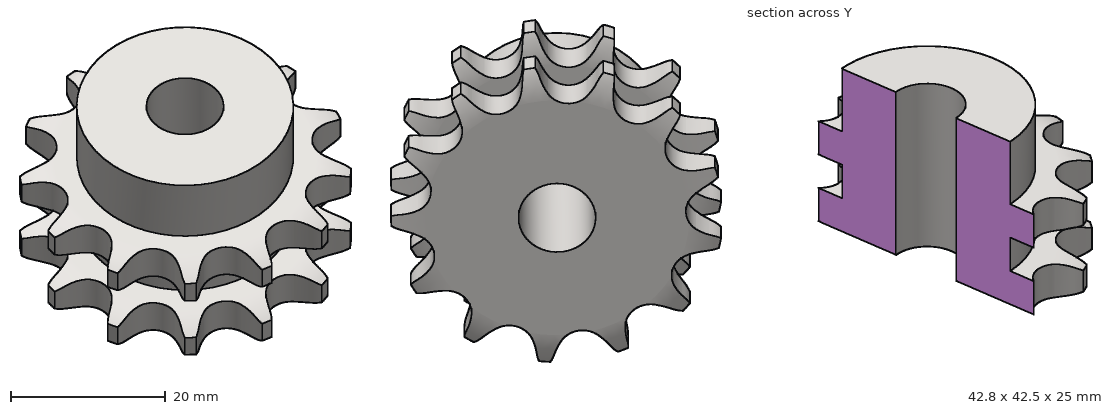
import cadquery as cq
import math


tooth_count = 13
pitch_diameter = 39.8
roller_diameter = 6.35
roller_clearance = 0.04
outer_diameter = 43.0
disc_thickness = 5.2
disc_spacing = 10.25
hub_diameter = 28.0
hub_height = 25.0
bore_diameter = 10.0

relief_inner_diameter = 34.2
tip_thickness = 3.25

tooth_pitch_angle = 360 / tooth_count
pitch_radius = pitch_diameter / 2
outer_radius = outer_diameter / 2
seat_radius = 0.5025 * roller_diameter + roller_clearance
working_radius = 1.3025 * roller_diameter + roller_clearance
working_offset = 0.8 * roller_diameter
seat_angle = 35 + 60 / tooth_count
working_sweep = 18 - 56 / tooth_count
pressure_angle = 17 - 64 / tooth_count
topping_offset = 1.4 * roller_diameter
flat_length = (
    topping_offset * math.sin(math.radians(pressure_angle))
    - working_offset * math.sin(math.radians(working_sweep))
)
topping_radius = (
    working_offset * math.cos(math.radians(working_sweep))
    + topping_offset * math.cos(math.radians(pressure_angle))
    - working_radius
)
topping_sweep = 18
gap_overrun = 2.15


def polar_from(center, distance, angle):
    """Point at a distance and an angle in degrees from a center."""
    direction = math.radians(angle)
    return (
        center[0] + distance * math.cos(direction),
        center[1] + distance * math.sin(direction),
    )


def mirrored(point):
    """Reflect a point across the center line of the gap."""
    return (point[0], -point[1])


def gap_cutter():
    """Space between two teeth, centered on +X: seat, working curve, flat and topping curve."""
    roller_center = (pitch_radius, 0)
    seat_end_angle = 90 + seat_angle
    root = polar_from(roller_center, seat_radius, 180)
    seat_end = polar_from(roller_center, seat_radius, seat_end_angle)

    working_center = polar_from(roller_center, -working_offset, seat_end_angle)
    flat_angle = seat_end_angle - working_sweep
    working_middle = polar_from(working_center, working_radius, seat_end_angle - working_sweep / 2)
    working_end = polar_from(working_center, working_radius, flat_angle)
    flat_end = polar_from(working_end, flat_length, flat_angle - 90)

    topping_center = polar_from(flat_end, topping_radius, flat_angle)
    topping_middle = polar_from(topping_center, -topping_radius, flat_angle + topping_sweep / 2)
    topping_end = polar_from(topping_center, -topping_radius, flat_angle + topping_sweep)

    return (
        cq.Workplane("XY")
        .moveTo(*mirrored(seat_end))
        .threePointArc(root, seat_end)
        .threePointArc(working_middle, working_end)
        .lineTo(*flat_end)
        .threePointArc(topping_middle, topping_end)
        .lineTo(outer_radius + gap_overrun, 0)
        .lineTo(*mirrored(topping_end))
        .threePointArc(mirrored(topping_middle), mirrored(flat_end))
        .lineTo(*mirrored(working_end))
        .threePointArc(mirrored(working_middle), mirrored(seat_end))
        .close()
        .extrude(disc_thickness)
    )


def disc_blank():
    """Turned disc whose faces curve in tangentially towards the tip."""
    relief_start = relief_inner_diameter / 2
    relief_length = outer_radius - relief_start
    relief_drop = (disc_thickness - tip_thickness) / 2
    relief_radius = (relief_length**2 + relief_drop**2) / (2 * relief_drop)
    half_sweep = math.degrees(math.asin(relief_length / relief_radius)) / 2

    lower_middle = polar_from((relief_start, relief_radius), relief_radius, -90 + half_sweep)
    upper_middle = (lower_middle[0], disc_thickness - lower_middle[1])
    return (
        cq.Workplane("XZ")
        .lineTo(relief_start, 0)
        .threePointArc(lower_middle, (outer_radius, relief_drop))
        .lineTo(outer_radius, disc_thickness - relief_drop)
        .threePointArc(upper_middle, (relief_start, disc_thickness))
        .lineTo(0, disc_thickness)
        .close()
        .revolve(360, (0, 0, 0), (0, 1, 0))
    )


def toothed_disc():
    """One disc with a tooth pointing along -Y."""
    disc = disc_blank()
    gap = gap_cutter()
    first_gap_angle = -90 + tooth_pitch_angle / 2
    for index in range(tooth_count):
        angle = first_gap_angle + index * tooth_pitch_angle
        disc = disc.cut(gap.rotate((0, 0, 0), (0, 0, 1), angle))
    return disc


disc = toothed_disc()
hub = cq.Workplane("XY").circle(hub_diameter / 2).extrude(hub_height)
bore = cq.Workplane("XY").circle(bore_diameter / 2).extrude(hub_height)

result = hub.union(disc).union(disc.translate((0, 0, disc_spacing))).cut(bore)